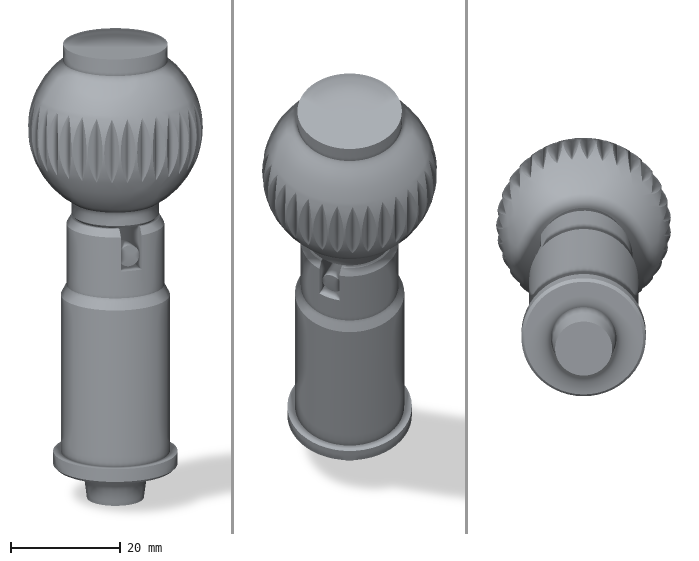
import cadquery as cq
import math

total_height = 87.0

ball_radius = 16.0
collar_radius = 9.6
neck_radius = 8.0
neck_chamfer = 0.5
stem_radius = 4.0
tip_root_radius = 6.0
tip_end_radius = 5.2

groove_count = 33
groove_root_radius = 14.8
groove_angle = 100.0

sleeve_top = 54.0
sleeve_rim_radius = 8.2
upper_radius = 9.0
upper_chamfer_bottom = 52.6
shoulder_top = 41.0
shoulder_bottom = 39.0
body_radius = 10.0
flange_radius = 11.4
flange_top = 9.0
flange_bottom = 6.0
flange_chamfer = 0.5

slot_width = 4.0
slot_floor = 46.1
pin_diameter = slot_width
pin_length = 15.0
pin_height = 48.55

ball_center = total_height - ball_radius
collar_bottom = ball_center + math.sqrt(ball_radius**2 - collar_radius**2)
neck_top = ball_center - math.sqrt(ball_radius**2 - neck_radius**2)
neck_bottom = sleeve_top


def revolve_profile(profile):
    """Turn a closed (radius, height) outline around the Z axis."""
    return profile.close().revolve(360, (0, 0, 0), (0, 1, 0))


def make_turned_plunger():
    """Knob, neck, stem and tip as one turned shape."""
    return revolve_profile(
        cq.Workplane("XZ")
        .moveTo(0, 0)
        .lineTo(tip_end_radius, 0)
        .lineTo(tip_root_radius, flange_bottom)
        .lineTo(stem_radius, flange_bottom)
        .lineTo(stem_radius, neck_bottom)
        .lineTo(neck_radius - neck_chamfer, neck_bottom)
        .lineTo(neck_radius, neck_bottom + neck_chamfer)
        .lineTo(neck_radius, neck_top)
        .threePointArc((ball_radius, ball_center), (collar_radius, collar_bottom))
        .lineTo(collar_radius, total_height)
        .lineTo(0, total_height)
    )


def make_grip_cutters():
    """Vertical V-shaped cutters, the first one centred on +X."""
    cutter_reach = 2 * (ball_radius - groove_root_radius)
    half_width = cutter_reach * math.tan(math.radians(groove_angle / 2))
    outer_radius = groove_root_radius + cutter_reach
    cutter = (
        cq.Workplane("XY")
        .workplane(offset=ball_center - ball_radius)
        .moveTo(groove_root_radius, 0)
        .lineTo(outer_radius, half_width)
        .lineTo(outer_radius, -half_width)
        .close()
        .extrude(2 * ball_radius)
    )
    pitch = 360 / groove_count
    return [cutter.rotate((0, 0, 0), (0, 0, 1), i * pitch) for i in range(groove_count)]


def make_guide_pin():
    """Cross pin along X, one piece with the stem it crosses."""
    return (
        cq.Workplane("YZ")
        .center(0, pin_height)
        .circle(pin_diameter / 2)
        .extrude(pin_length / 2, both=True)
    )


def make_plunger():
    """Grooved knob with its stem, guide pin and tip, all one solid."""
    plunger = make_turned_plunger()
    for cutter in make_grip_cutters():
        plunger = plunger.cut(cutter)
    return plunger.union(make_guide_pin())


def make_sleeve():
    """Turned sleeve, bored for the stem, with a guide slot open at the top."""
    sleeve = revolve_profile(
        cq.Workplane("XZ")
        .moveTo(stem_radius, flange_bottom)
        .lineTo(flange_radius - flange_chamfer, flange_bottom)
        .lineTo(flange_radius, flange_bottom + flange_chamfer)
        .lineTo(flange_radius, flange_top)
        .lineTo(body_radius, flange_top)
        .lineTo(body_radius, shoulder_bottom)
        .lineTo(upper_radius, shoulder_top)
        .lineTo(upper_radius, upper_chamfer_bottom)
        .lineTo(sleeve_rim_radius, sleeve_top)
        .lineTo(stem_radius, sleeve_top)
    )
    slot = (
        cq.Workplane("XY")
        .workplane(offset=slot_floor)
        .rect(2 * upper_radius, slot_width)
        .extrude(sleeve_top - slot_floor)
    )
    return sleeve.cut(slot)


plunger = make_plunger()
sleeve = make_sleeve()

result = cq.Compound.makeCompound([plunger.val(), sleeve.val()])